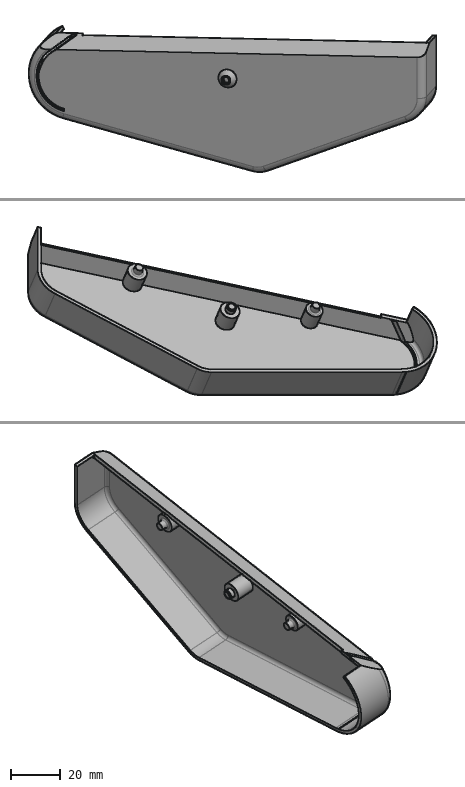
import cadquery as cq
import math


length = 165.5
nose_radius = 18.0
apex_radius = 10.0
heel_radius = 12.0
apex_center = (77.5, -23.2)
right_x = length - nose_radius
heel_center = (right_x - heel_radius, 5.0)
top_right_z = 26.2
top_angle = math.radians(3.9)

depth = 17.9
wall = 1.5
plate = 1.5
front_round = 3.0
clearance = 3.3

bevel_depth = 8.0
bevel_drop = 3.8
bevel_angle = math.atan2(bevel_drop, bevel_depth)
strip_square_end = (
    bevel_depth + plate * math.sin(bevel_angle),
    -plate * math.cos(bevel_angle),
)
lip_end_y = 9.0
lip_rise = (lip_end_y - bevel_depth) * math.tan(bevel_angle)
lip_end_x = 2.8

slot_radius = 13.5
slot_width = 1.0
slot_turn_angle = math.radians(124)
slot_straight = 14.9

slit_angle = math.radians(253)
slit_width = 0.3
slit_end_y = 17.2

bolt_boss_diameter = 8.0
boss_top_y = 9.6
pin_root_diameter = 3.8
pin_tip_diameter = 3.1
pin_tip_y = 12.6
pin_root_round = 0.7
pin_bosses = ((30.6, 7.0), (104.0, 8.0))
pin_below_top = 5.1

bolt_position = (65.5, 6.1)
bolt_diameter = 4.0
bolt_tip_y = 12.1
bolt_tip_chamfer = 0.5
head_diameter = 7.6
head_height = 2.3
head_flat_diameter = 3.8
head_bulge_radius = 3.1
socket_across_flats = 2.5
socket_depth = 1.3


def top_z(x):
    """Height of the top line at a given x."""
    return top_right_z - (right_x - x) * math.tan(top_angle)


def polar(radius, angle, center=(0, 0)):
    return (center[0] + radius * math.cos(angle), center[1] + radius * math.sin(angle))


def extrude_y(sketch_on, start_y, end_y):
    """Extrude an XZ drawing, given as a function of a workplane, from start_y to end_y."""
    plane = cq.Workplane("XZ", origin=(0, start_y, 0))
    return sketch_on(plane).extrude(start_y - end_y)


def cylinder_y(position, diameter, start_y, end_y):
    return extrude_y(lambda plane: plane.center(*position).circle(diameter / 2), start_y, end_y)


def tangent_normal(center_a, radius_a, center_b, radius_b):
    """Polar angle of the normal to the line that touches the lower side of two circles."""
    dx = center_b[0] - center_a[0]
    dz = center_b[1] - center_a[1]
    return math.atan2(dz, dx) - math.acos((radius_a - radius_b) / math.hypot(dx, dz))


lower_left_normal = tangent_normal((0, 0), nose_radius, apex_center, apex_radius)
lower_right_normal = tangent_normal(apex_center, apex_radius, heel_center, heel_radius)


raised_line_distance = (top_z(0) + lip_rise) * math.cos(top_angle)
nose_end = math.pi + top_angle - math.asin(raised_line_distance / nose_radius)


def lower_edge(plane, inset):
    """Open outline from the nose round to the heel, moved inwards by inset."""
    nose = nose_radius - inset
    apex = apex_radius - inset
    heel = heel_radius - inset
    nose_middle = (nose_end + lower_left_normal + 2 * math.pi) / 2
    apex_middle = (lower_left_normal + lower_right_normal) / 2
    return (
        plane.moveTo(*polar(nose, nose_end))
        .threePointArc(polar(nose, nose_middle), polar(nose, lower_left_normal))
        .lineTo(*polar(apex, lower_left_normal, apex_center))
        .threePointArc(
            polar(apex, apex_middle, apex_center), polar(apex, lower_right_normal, apex_center)
        )
        .lineTo(*polar(heel, lower_right_normal, heel_center))
        .threePointArc(
            polar(heel, lower_right_normal / 2, heel_center), polar(heel, 0, heel_center)
        )
    )


def cover_outline(plane):
    return lower_edge(plane, 0).lineTo(right_x, top_z(right_x) + lip_rise).close()


def cavity_outline(plane):
    """Inside of the walls, open at the top; the nose wall ends square to its curve."""
    inner_x = right_x - wall
    return (
        lower_edge(plane, wall)
        .lineTo(inner_x, top_z(inner_x) + clearance)
        .lineTo(*polar(nose_radius + clearance, nose_end))
        .close()
    )


def round_front(body, front_y, radius):
    """Round the front edges of an outline body, leaving its straight top edge sharp."""
    edges = [
        edge
        for edge in body.faces("<Y").edges().vals()
        if edge.Center().z < top_z(edge.Center().x) - wall / 2
    ]
    return body.newObject(edges).fillet(radius)


def along_top(points, start_x, end_x):
    """Prism along the top line; points are (y, height above the top line)."""
    direction = cq.Vector(math.cos(top_angle), 0, math.sin(top_angle))
    plane = cq.Plane(origin=(start_x, 0, top_z(start_x)), xDir=(0, 1, 0), normal=direction)
    return cq.Workplane(plane).polyline(points).close().extrude((end_x - start_x) / math.cos(top_angle))


left_limit = -nose_radius - clearance
right_limit = right_x + clearance


def slope_height(y, offset):
    """Height of the sloping plane, moved inwards by offset, above the top line."""
    return (y - bevel_depth) * math.tan(bevel_angle) - offset / math.cos(bevel_angle)


def above_slope(offset, end_y):
    """Everything above the sloping plane, moved inwards by offset, in front of end_y."""
    points = [
        (-clearance, slope_height(-clearance, offset)),
        (end_y, slope_height(end_y, offset)),
        (end_y, clearance),
        (-clearance, clearance),
    ]
    return along_top(points, left_limit, right_limit)


def lip(start_x, end_x):
    """Material between the square end of the strip and the upright end of the lip."""
    points = [
        (bevel_depth, 0),
        strip_square_end,
        (lip_end_y, slope_height(lip_end_y, plate)),
        (lip_end_y, lip_rise),
    ]
    return along_top(points, start_x, end_x)


def shell():
    body = round_front(extrude_y(cover_outline, 0, depth), 0, front_round)
    body = body.cut(above_slope(0, lip_end_y))
    cavity = extrude_y(cavity_outline, plate, depth)
    cavity = round_front(cavity, plate, front_round - plate)
    cavity = cavity.cut(above_slope(plate, lip_end_y))
    return body.cut(cavity)


def lip_trim():
    """Right of the lip, the strip ends square to its slope and the wall stops at the top line."""
    above_line = [(bevel_depth, 0), (depth, 0), (depth, clearance), (bevel_depth, clearance)]
    return lip(lip_end_x, right_x - wall).union(along_top(above_line, lip_end_x, right_limit))


def slot():
    """Arc concentric with the nose, running out in a straight line through the top."""
    inner = slot_radius - slot_width / 2
    outer = slot_radius + slot_width / 2
    start = lower_left_normal + 2 * math.pi
    middle = (start + slot_turn_angle) / 2
    run = polar(slot_straight, slot_turn_angle - math.pi / 2)

    def sketch(plane):
        return (
            plane.moveTo(*polar(inner, start))
            .threePointArc(polar(inner, middle), polar(inner, slot_turn_angle))
            .line(*run)
            .lineTo(*polar(outer, slot_turn_angle, run))
            .lineTo(*polar(outer, slot_turn_angle))
            .threePointArc(polar(outer, middle), polar(outer, start))
            .close()
        )

    return extrude_y(sketch, -clearance, lip_end_y).cut(lip(left_limit, right_limit))


def slit():
    """Radial cut through the nose wall, behind the rounded front edge."""
    block = cq.Workplane("XY").box(
        2 * wall, slit_end_y - front_round, slit_width, centered=(True, False, True)
    )
    return (
        block.translate((nose_radius - wall / 2, front_round, 0))
        .rotate((0, 0, 0), (0, -1, 0), math.degrees(slit_angle))
    )


def boss(position, diameter):
    return cylinder_y(position, diameter, plate / 2, boss_top_y)


def pin_boss(x, boss_diameter):
    """Boss that carries a tapered locating pin."""
    position = (x, top_z(x) - pin_below_top)
    pin = cq.Workplane(
        cq.Solid.makeCone(
            pin_root_diameter / 2,
            pin_tip_diameter / 2,
            pin_tip_y - boss_top_y,
            cq.Vector(x, boss_top_y, position[1]),
            cq.Vector(0, 1, 0),
        )
    )
    root_edge = cq.selectors.BoxSelector(
        (x - pin_root_round, boss_top_y - pin_root_round, position[1] - pin_root_round),
        (x + pin_root_round, boss_top_y + pin_root_round, position[1] + pin_root_round),
    )
    post = boss(position, boss_diameter).union(pin)
    return post.edges(root_edge).edges(cq.selectors.RadiusNthSelector(0)).fillet(pin_root_round)


def make_cover():
    cover = shell().cut(lip_trim()).cut(slot()).cut(slit()).union(boss(bolt_position, bolt_boss_diameter))
    for x, boss_diameter in pin_bosses:
        cover = cover.union(pin_boss(x, boss_diameter).cut(above_slope(0, bevel_depth)))
    return cover.cut(cylinder_y(bolt_position, bolt_diameter, -clearance, depth))


def make_bolt():
    """Button-head bolt with a hexagon socket, its head seated on the front face."""
    profile = (
        cq.Workplane("XY")
        .moveTo(0, -head_height)
        .lineTo(head_flat_diameter / 2, -head_height)
        .threePointArc((head_bulge_radius, -head_height / 2), (head_diameter / 2, 0))
        .lineTo(bolt_diameter / 2, 0)
        .lineTo(bolt_diameter / 2, bolt_tip_y - bolt_tip_chamfer)
        .lineTo(bolt_diameter / 2 - bolt_tip_chamfer, bolt_tip_y)
        .lineTo(0, bolt_tip_y)
        .close()
    )
    bolt = profile.revolve(360, (0, 0, 0), (0, 1, 0))
    socket_diameter = socket_across_flats / math.cos(math.pi / 6)
    socket = extrude_y(
        lambda plane: plane.polygon(6, socket_diameter), -head_height, socket_depth - head_height
    )
    return bolt.cut(socket).translate((bolt_position[0], 0, bolt_position[1]))


cover = make_cover()
bolt = make_bolt()
result = cq.Compound.makeCompound([cover.val(), bolt.val()])